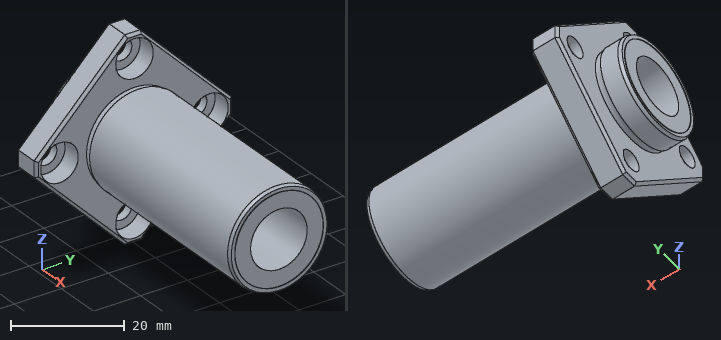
import cadquery as cq

length = 57.0
sleeve_radius = 10.5
bore_radius = 6.015
end_bevel_length = 0.75
end_bevel_depth = 0.3
seal_radius = 9.4
seal_recess = 0.1

flange_start = 6.0
flange_thickness = 6.05
flange_end = flange_start + flange_thickness
flange_side = 32.05
flange_corner_span = 41.95
flange_bevel = 0.55

neck_length = 1.35
neck_depth = 0.3
neck_radius = sleeve_radius - neck_depth
neck_middle_rise = 0.05

hole_diameter = 4.5
counterbore_diameter = 8.0
counterbore_depth = 4.1
hole_circle_radius = 15.95
hole_count = 4


def make_sleeve():
    """Revolve the half section of the sleeve, drawn as (x, radius), about X."""
    end_radius = sleeve_radius - end_bevel_depth
    neck_middle = neck_length / 2
    neck_middle_radius = neck_radius + neck_middle_rise
    profile = (
        cq.Workplane("XY")
        .moveTo(0, bore_radius)
        .lineTo(0, end_radius)
        .lineTo(end_bevel_length, sleeve_radius)
        .lineTo(flange_start - neck_length, sleeve_radius)
        .threePointArc(
            (flange_start - neck_middle, neck_middle_radius),
            (flange_start, neck_radius),
        )
        .lineTo(flange_end, neck_radius)
        .threePointArc(
            (flange_end + neck_middle, neck_middle_radius),
            (flange_end + neck_length, sleeve_radius),
        )
        .lineTo(length - end_bevel_length, sleeve_radius)
        .lineTo(length, end_radius)
        .lineTo(length, bore_radius)
        .close()
    )
    return profile.revolve(360, (0, 0, 0), (1, 0, 0))


def make_flange():
    """Square plate with flat corners and bevelled rims on both faces."""
    square = (
        cq.Workplane("YZ", origin=(flange_start, 0, 0))
        .rect(flange_side, flange_side)
        .extrude(flange_thickness)
        .rotate((0, 0, 0), (1, 0, 0), 45)
    )
    corner_limits = (
        cq.Workplane("YZ", origin=(flange_start, 0, 0))
        .rect(flange_corner_span, flange_corner_span)
        .extrude(flange_thickness)
    )
    return square.intersect(corner_limits).faces("<X or >X").chamfer(flange_bevel)


def make_disc(start, depth, radius):
    """Cylinder about X from the given start."""
    return cq.Workplane("YZ", origin=(start, 0, 0)).circle(radius).extrude(depth)


flange = (
    make_flange()
    .faces(">X")
    .workplane(origin=(0, 0, 0))
    .polarArray(hole_circle_radius, 0, 360, hole_count)
    .cboreHole(hole_diameter, counterbore_diameter, counterbore_depth)
)

result = (
    make_sleeve()
    .union(flange)
    .cut(make_disc(0, length, bore_radius))
    .cut(make_disc(0, seal_recess, seal_radius))
    .cut(make_disc(length - seal_recess, seal_recess, seal_radius))
)